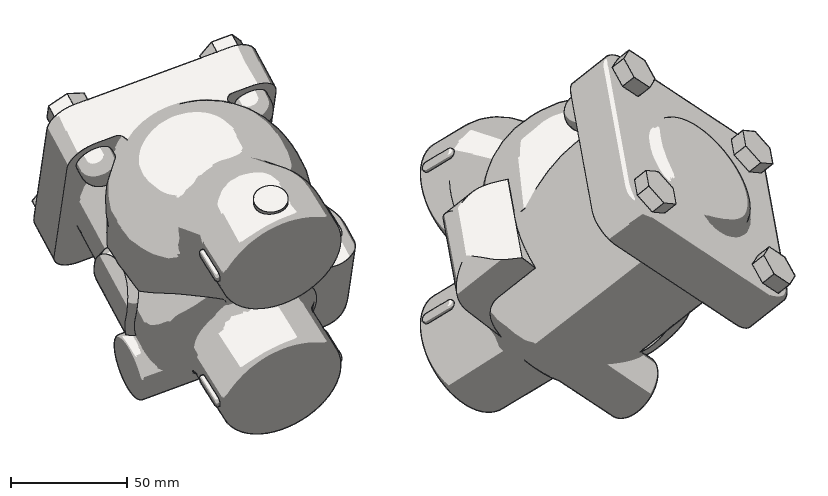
import cadquery as cq
import math


port_diameter = 57.0
port_radius = port_diameter / 2
port_end_x = 76.08
port_spacing = 84.0
port_rim_radius = (port_diameter - 50.5) / 2
elbow_x = 55.0
neck_angle = 40.0
neck_length = 75.0

chamber_radius = 44.0
chamber_z = 44.0
chamber_straight = 4.0
bonnet_tilt = 10.0
bonnet_length = 105.5
bonnet_end_round = 15.0

cover_x = -63.83
cover_z = 21.2
flange_size = 100.0
cover_thickness = 10.0
flange_thickness = 12.0
bolt_offset = 37.0
corner_radius = flange_size / 2 - bolt_offset
cover_edge_round = 2.0
flange_back = cover_thickness + flange_thickness

dome_height = 5.2
dome_top_radius = 50.5 / 2
dome_foot_radius = 32.8

bolt_across_flats = 17.0
bolt_head_height = 7.0
bolt_boss_radius = 8.6
bolt_boss_length = 4.5

side_bulge_y = 56.0
side_bulge_round = 16.0
side_bulge_u = 89.0
side_bulge_start_u = 68.0
side_bulge_half_width = 23.0
side_bulge_half_foot = 30.0
side_bulge_corner_round = 10.0

pad_x = 2.0
pad_w = -2.0
pad_width = 42.0
pad_length = 50.0
pad_foot_y = 36.0
pad_top_radius = 47.7
pad_flare = 25.0

drain_radius = 15.0
drain_x = 18.9
drain_z = -22.8
drain_y = 47.0
drain_edge_round = 1.3

flange_foot_round = 3.0
neck_foot_round = 6.0
lower_port_foot_round = 8.0
drain_foot_round = 2.0
contact_tolerance = 0.001

mark_x = 63.0
rib_length = 18.0
rib_width = 5.0
rib_height = 1.7
rib_edge_round = 1.2
disc_diameter = 15.0
disc_height = 1.2

tilt = math.radians(bonnet_tilt)
axis_u = cq.Vector(math.cos(tilt), 0, -math.sin(tilt))
axis_w = cq.Vector(math.sin(tilt), 0, math.cos(tilt))
cover_centre = cq.Vector(cover_x, 0, cover_z)


def bonnet_point(u, v, w):
    """Point at depth u behind the cover face, v along Y and w up the face."""
    return cover_centre + axis_u * u + cq.Vector(0, v, 0) + axis_w * w


def face_plane(u):
    """Plane parallel to the cover face at depth u; local x is Y and local y runs up the face."""
    return cq.Workplane(cq.Plane(bonnet_point(u, 0, 0), cq.Vector(0, 1, 0), axis_u))


def rounded_block(u, thickness):
    block = face_plane(u).rect(flange_size, flange_size).extrude(thickness)
    return block.edges(cq.selectors.ParallelDirSelector(axis_u)).fillet(corner_radius)


def touches(shape, point):
    return shape.distance(cq.Vertex.makeVertex(*point.toTuple())) < contact_tolerance


def blend(body, tool, radius):
    """Join tool to body and round the seams where their surfaces meet."""
    joined = body.union(tool)
    old_edges = body.edges().vals() + tool.edges().vals()
    skins = [cq.Shell.makeShell(part.faces().vals()) for part in (body, tool)]
    seams = []
    for edge in joined.edges().vals():
        middle = edge.positionAt(0.5)
        is_new = not any(touches(old, middle) for old in old_edges)
        if is_new and all(touches(skin, middle) for skin in skins):
            seams.append(edge)
    return joined.newObject(seams).fillet(radius)


def bonnet():
    start = cover_thickness
    body = face_plane(start).circle(chamber_radius).extrude(bonnet_length - start)
    return body.faces(">X").edges().fillet(bonnet_end_round)


def chamber():
    """Two hemispheres joined by a short straight stretch along X, with a leg down into the bonnet."""
    r = chamber_radius
    length = chamber_straight
    ball = (
        cq.Workplane("XZ", origin=(0, 0, chamber_z))
        .moveTo(-r, 0)
        .threePointArc((-r * math.sqrt(0.5), r * math.sqrt(0.5)), (0, r))
        .lineTo(length, r)
        .threePointArc((length + r * math.sqrt(0.5), r * math.sqrt(0.5)), (length + r, 0))
        .close()
        .revolve(360, (0, 0, 0), (1, 0, 0))
    )
    leg_plane = cq.Plane((length, 0, chamber_z), (0, 1, 0), axis_w * -1)
    leg = cq.Workplane(leg_plane).circle(r).extrude(chamber_z * 0.75)
    return ball.union(leg)


def mitred_pipe(direction, length, side):
    """Straight pipe from the elbow centre, kept on one side of the mitre and ending square outside."""
    centre = cq.Vector(elbow_x, 0, port_spacing)
    overlap = port_radius
    pipe = (
        cq.Workplane(cq.Plane(centre - direction * overlap, (0, 1, 0), direction))
        .circle(port_radius)
        .extrude(length + overlap)
    )
    half_angle = math.radians(neck_angle / 2)
    mitre_normal = cq.Vector(math.cos(half_angle), 0, math.sin(half_angle)) * side
    size = 2 * length + 4 * port_radius
    for normal in (mitre_normal, direction):
        keep = cq.Workplane(cq.Plane(centre, (0, 1, 0), normal)).rect(size, size).extrude(size)
        pipe = pipe.intersect(keep)
    return pipe


def elbow_wedge():
    """Wedge of a ball filling the outside of the elbow between the two square pipe ends."""
    return (
        cq.Workplane("YZ", origin=(elbow_x, 0, port_spacing))
        .moveTo(-port_radius, 0)
        .threePointArc((0, port_radius), (port_radius, 0))
        .close()
        .revolve(neck_angle, (0, 0, 0), (-1, 0, 0))
    )


def upper_pipe():
    a = math.radians(neck_angle)
    neck = mitred_pipe(cq.Vector(-math.cos(a), 0, -math.sin(a)), neck_length, -1)
    outlet = mitred_pipe(cq.Vector(1, 0, 0), port_end_x - elbow_x, 1)
    outlet = outlet.faces(">X").edges().fillet(port_rim_radius)
    return neck.union(outlet).union(elbow_wedge())


def lower_port():
    pipe = cq.Workplane("YZ").circle(port_radius).extrude(port_end_x)
    return pipe.faces(">X").edges().fillet(port_rim_radius)


def side_bulge():
    """Drafted bulge on the +Y side: a plan outline and an end outline, intersected."""
    r = side_bulge_round
    yc = side_bulge_y - r
    du = side_bulge_u - side_bulge_start_u
    dv = yc - chamber_radius
    dist = math.hypot(du, dv)
    phi = math.atan2(dv, du) + math.asin(r / dist)
    tangent = (side_bulge_u - r * math.sin(phi), yc + r * math.cos(phi))
    plan_plane = cq.Plane(bonnet_point(0, 0, -chamber_radius), axis_u, axis_w)
    plan = (
        cq.Workplane(plan_plane)
        .moveTo(side_bulge_start_u, 0)
        .lineTo(side_bulge_start_u, chamber_radius)
        .lineTo(*tangent)
        .threePointArc(
            (side_bulge_u + r * math.sin(math.pi / 4), yc + r * math.cos(math.pi / 4)),
            (side_bulge_u + r, yc),
        )
        .lineTo(side_bulge_u + r, 0)
        .close()
        .extrude(2 * chamber_radius)
    )
    outline = [
        (side_bulge_y, side_bulge_half_width),
        (side_bulge_y, -side_bulge_half_width),
        (0, -side_bulge_half_foot),
        (0, side_bulge_half_foot),
    ]
    ends = face_plane(0).polyline(outline).close().extrude(bonnet_length)
    along_axis = cq.selectors.ParallelDirSelector(axis_u)
    ends = ends.faces(">Y").edges(along_axis).fillet(side_bulge_corner_round)
    return plan.intersect(ends)


def drain_boss():
    boss = cq.Workplane("XZ", origin=(drain_x, 0, drain_z)).circle(drain_radius).extrude(drain_y)
    return boss.faces("<Y").edges().fillet(drain_edge_round)


def pad():
    """Raised pad on the -Y side with flared flanks; its top is concentric with the bonnet cylinder."""
    u = (pad_x - cover_x) / math.cos(tilt)
    foot_point = bonnet_point(u, 0, pad_w) - cq.Vector(0, pad_foot_y, 0)
    prism = (
        cq.Workplane(cq.Plane(foot_point, axis_w, (0, -1, 0)))
        .slot2D(pad_length, pad_width)
        .extrude(pad_top_radius - pad_foot_y, taper=pad_flare)
    )
    return prism.intersect(face_plane(0).circle(pad_top_radius).extrude(bonnet_length))


def bolt_boss(side):
    v = side * bolt_offset
    stem = face_plane(cover_thickness).center(v, bolt_offset).circle(bolt_boss_radius)
    stem = stem.extrude(flange_thickness + bolt_boss_length)
    tip = bonnet_point(flange_back + bolt_boss_length, v, bolt_offset)
    return stem.union(cq.Workplane("XY", origin=tip.toTuple()).sphere(bolt_boss_radius))


def cover():
    plate = rounded_block(0, cover_thickness)
    front_face = cq.selectors.DirectionMinMaxSelector(axis_u, False)
    plate = plate.faces(front_face).edges().fillet(cover_edge_round)
    return plate.union(cover_dome())


def cover_dome():
    """Raised round centre of the cover, its flank an ogee of two equal arcs."""
    middle = ((dome_top_radius + dome_foot_radius) / 2, dome_height / 2)
    return (
        cq.Workplane(cq.Plane(cover_centre, (0, 1, 0), axis_w))
        .moveTo(0, dome_height)
        .lineTo(dome_top_radius, dome_height)
        .tangentArcPoint(middle, relative=False)
        .tangentArcPoint((dome_foot_radius, 0), relative=False)
        .lineTo(dome_foot_radius, -cover_thickness / 2)
        .lineTo(0, -cover_thickness / 2)
        .close()
        .revolve(360, (0, 0, 0), (0, 1, 0))
    )


def bolt_head(side_v, side_w):
    """Hex head; heads on one diagonal stand with a corner up, the others with a corner sideways."""
    turn = 0 if side_v == side_w else 30
    head = face_plane(-bolt_head_height).transformed(
        rotate=(0, 0, turn), offset=(side_v * bolt_offset, side_w * bolt_offset, 0)
    )
    across_corners = bolt_across_flats / math.cos(math.pi / 6)
    return head.polygon(6, across_corners).extrude(bolt_head_height + cover_thickness / 2)


def port_rib(z, side):
    inner = port_radius - 3
    rib = (
        cq.Workplane(cq.Plane((mark_x, side * inner, z), (1, 0, 0), (0, side, 0)))
        .slot2D(rib_length, rib_width)
        .extrude(port_radius + rib_height - inner)
    )
    return rib.faces(">Y" if side > 0 else "<Y").edges().fillet(rib_edge_round)


def port_disc():
    base = cq.Workplane("XY", origin=(mark_x, 0, port_spacing)).circle(disc_diameter / 2)
    return base.extrude(port_radius + disc_height)


body = bonnet().union(chamber())
body = blend(body, rounded_block(cover_thickness, flange_thickness), flange_foot_round)
body = blend(body, upper_pipe(), neck_foot_round)
body = blend(body, lower_port(), lower_port_foot_round)
body = blend(body, drain_boss(), drain_foot_round)
body = body.union(side_bulge()).union(pad()).union(port_disc())
for side in (-1, 1):
    body = body.union(bolt_boss(side))
    for axis_z in (0, port_spacing):
        body = body.union(port_rib(axis_z, side))

body = body.union(cover(), clean=False)
for side_v in (-1, 1):
    for side_w in (-1, 1):
        body = body.union(bolt_head(side_v, side_w), clean=False)

result = body